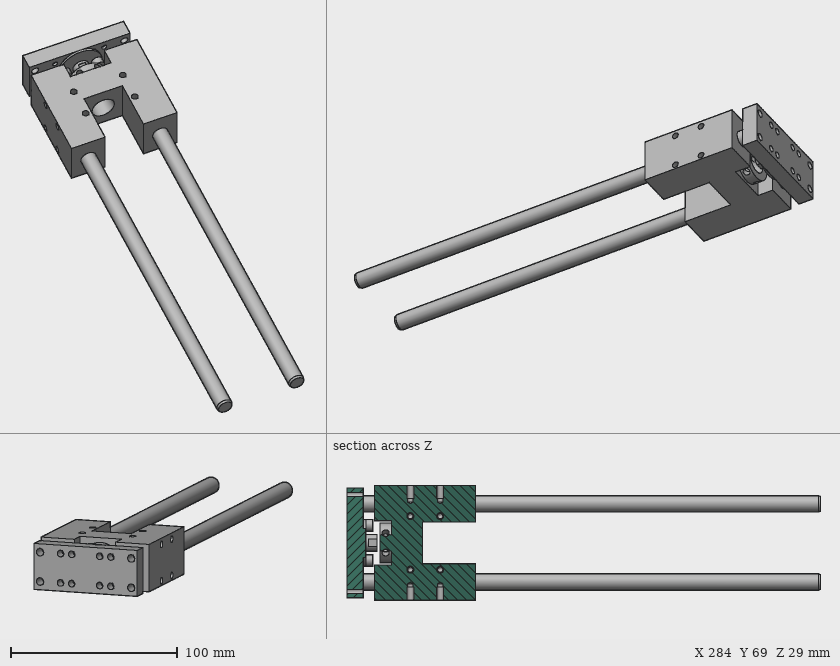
import cadquery as cq
import math

HOUSING_LENGTH = 60.8
HOUSING_WIDTH = 69.0
HOUSING_HEIGHT = 29.0
HOUSING_X = 16.5

TOTAL_LENGTH = 284
PLATE_THICKNESS = 10.0
PLATE_WIDTH = 66.0
PLATE_HEIGHT = 28.0
ROD_DIAMETER = 10.0
ROD_SPACING = 47.0
ROD_TIP_CHAMFER_LENGTH = 1.5
ROD_TIP_CHAMFER_STEP = 0.5

BASE_Z = -PLATE_HEIGHT / 2

FLANGE_DIAMETER = 28.0
FLANGE_THICKNESS = 1.5
SCREW_HEAD_DIAMETER = 7.0
SCREW_HEAD_END_X = 15.5
SCREW_SPACING = 21.0
STUD_DIAMETER = 10.2
STUD_END_X = 18.2
FLAT_START_X = 13.0
FLAT_CHORD = 4.5

POCKET_DEPTH = 10.2
POCKET_WIDTH = 26.5
REAR_SLOT_WIDTH = 25.0
REAR_SLOT_LENGTH = 31.8
RING_DIAMETER = 24.0
RING_LENGTH = 6.8
RING_BORE = 14.5
SPANNER_HOLE_DIAMETER = 4.3
SPANNER_HOLE_ANGLE = 30

THREAD_DIAMETER = 4.0
PILOT_DIAMETER = 3.0
THREAD_DEPTH = 8.0
PILOT_DEPTH = 10.0
DRILL_POINT_ANGLE = 118
HOUSING_HOLE_PITCH = 18.0
HOUSING_HOLE_OFFSET = 21.5
TOP_HOLE_SPACING = 32.0
SIDE_HOLE_SPACING = 22.2

PLATE_HOLE_ROWS = 18.0
CORNER_HOLE_DIAMETER = 4.5
CORNER_HOLE_SPACING = 58.2
THREADED_HOLE_SPACINGS = (18.0, 32.0)


def rod_along_x(diameter, start_x, end_x, y=0):
    """Round bar parallel to X between two X positions."""
    circle = cq.Workplane("YZ", origin=(start_x, y, 0)).circle(diameter / 2)
    return circle.extrude(end_x - start_x)


def block(length, width, height, start_x, base_z):
    """Box centred on Y, placed by its -X face and its underside."""
    corner_box = cq.Workplane("XY").box(length, width, height, centered=(False, True, False))
    return corner_box.translate((start_x, 0, base_z))


def make_guide_rod(y):
    rod = rod_along_x(ROD_DIAMETER, PLATE_THICKNESS, TOTAL_LENGTH, y)
    return rod.faces(">X").chamfer(ROD_TIP_CHAMFER_LENGTH, ROD_TIP_CHAMFER_STEP)


def make_stud():
    """Stud with two opposite wrench flats, above and below."""
    stud = rod_along_x(STUD_DIAMETER, PLATE_THICKNESS, STUD_END_X)
    across_flats = math.sqrt(STUD_DIAMETER**2 - FLAT_CHORD**2)
    flat_length = STUD_END_X - FLAT_START_X
    flatted = block(flat_length, STUD_DIAMETER, across_flats, FLAT_START_X, -across_flats / 2)
    plain = rod_along_x(STUD_DIAMETER, PLATE_THICKNESS, FLAT_START_X)
    return plain.union(stud.intersect(flatted))


def make_plate_holes(diameter, depth, spacing):
    """Four holes from the plate's outer face, mirrored about both centre lines."""
    points = cq.Workplane("YZ").rect(spacing, PLATE_HOLE_ROWS, forConstruction=True).vertices()
    return points.circle(diameter / 2).extrude(depth)


def make_rod_carriage():
    """Front plate with its two guide rods and the coupling on its back."""
    carriage = block(PLATE_THICKNESS, PLATE_WIDTH, PLATE_HEIGHT, 0, BASE_Z)
    carriage = carriage.cut(make_plate_holes(CORNER_HOLE_DIAMETER, PLATE_THICKNESS, CORNER_HOLE_SPACING))
    for spacing in THREADED_HOLE_SPACINGS:
        carriage = carriage.cut(make_plate_holes(THREAD_DIAMETER, THREAD_DEPTH, spacing))
        carriage = carriage.cut(make_plate_holes(PILOT_DIAMETER, PLATE_THICKNESS, spacing))

    flange_end = PLATE_THICKNESS + FLANGE_THICKNESS
    carriage = carriage.union(rod_along_x(FLANGE_DIAMETER, PLATE_THICKNESS, flange_end))
    carriage = carriage.union(make_stud())
    for side in (-1, 1):
        screw_y = side * SCREW_SPACING / 2
        carriage = carriage.union(
            rod_along_x(SCREW_HEAD_DIAMETER, PLATE_THICKNESS, SCREW_HEAD_END_X, screw_y)
        )
        carriage = carriage.union(make_guide_rod(side * ROD_SPACING / 2))
    return carriage


def make_ring_nut():
    """Ring on the pocket's back wall with four radial spanner holes."""
    end_x = HOUSING_X + POCKET_DEPTH
    start_x = end_x - RING_LENGTH
    ring = rod_along_x(RING_DIAMETER, start_x, end_x).cut(rod_along_x(RING_BORE, start_x, end_x))
    for angle in (-SPANNER_HOLE_ANGLE, SPANNER_HOLE_ANGLE):
        drill = (
            cq.Workplane("XY", origin=((start_x + end_x) / 2, 0, 0))
            .circle(SPANNER_HOLE_DIAMETER / 2)
            .extrude(RING_DIAMETER / 2, both=True)
            .rotate((0, 0, 0), (1, 0, 0), angle)
        )
        ring = ring.cut(drill)
    return ring


def make_tapped_hole():
    """Blind threaded hole down from the origin: thread, pilot bore and conical drill point."""
    thread_radius = THREAD_DIAMETER / 2
    pilot_radius = PILOT_DIAMETER / 2
    point_depth = pilot_radius / math.tan(math.radians(DRILL_POINT_ANGLE / 2))
    half_profile = [
        (0, 0),
        (thread_radius, 0),
        (thread_radius, -THREAD_DEPTH),
        (pilot_radius, -THREAD_DEPTH),
        (pilot_radius, -PILOT_DEPTH),
        (0, -PILOT_DEPTH - point_depth),
    ]
    profile = cq.Workplane("XZ").polyline(half_profile).close()
    return profile.revolve(360, (0, 0, 0), (0, 1, 0))


def make_tapped_pattern(face_distance, row_spacing, angle):
    """2 x 2 tapped holes in the face at that distance from the X axis, turned about it by the angle."""
    first_x = HOUSING_X + HOUSING_HOLE_OFFSET
    tapped_hole = make_tapped_hole()
    holes = []
    for x in (first_x, first_x + HOUSING_HOLE_PITCH):
        for side in (-1, 1):
            placed_hole = tapped_hole.translate((x, side * row_spacing / 2, face_distance))
            holes.append(placed_hole.rotate((0, 0, 0), (1, 0, 0), angle))
    return holes


def make_housing():
    """H-shaped guide block with rod bores and the ring nut in its front pocket."""
    end_x = HOUSING_X + HOUSING_LENGTH
    housing = block(HOUSING_LENGTH, HOUSING_WIDTH, HOUSING_HEIGHT, HOUSING_X, BASE_Z)
    tapped_holes = make_tapped_pattern(HOUSING_HEIGHT + BASE_Z, TOP_HOLE_SPACING, 0)
    for side_angle in (-90, 90):
        tapped_holes += make_tapped_pattern(HOUSING_WIDTH / 2, SIDE_HOLE_SPACING, side_angle)
    for tapped_hole in tapped_holes:
        housing = housing.cut(tapped_hole)

    housing = housing.cut(block(POCKET_DEPTH, POCKET_WIDTH, HOUSING_HEIGHT, HOUSING_X, BASE_Z))
    slot_x = end_x - REAR_SLOT_LENGTH
    housing = housing.cut(block(REAR_SLOT_LENGTH, REAR_SLOT_WIDTH, HOUSING_HEIGHT, slot_x, BASE_Z))
    housing = housing.cut(rod_along_x(RING_BORE, HOUSING_X, end_x))
    for side in (-1, 1):
        housing = housing.cut(rod_along_x(ROD_DIAMETER, HOUSING_X, end_x, side * ROD_SPACING / 2))
    return housing.union(make_ring_nut())


rod_carriage = make_rod_carriage()
guide_housing = make_housing()
result = cq.Compound.makeCompound([rod_carriage.val(), guide_housing.val()])